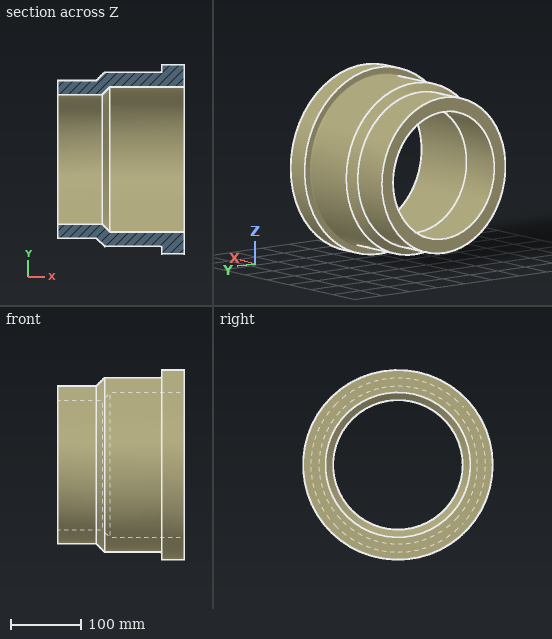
import cadquery as cq

length = 180.0
spigot_diameter = 225.0
body_diameter = 248.0
flange_diameter = 270.0

narrow_bore_diameter = 184.0
wide_bore_diameter = 206.0

spigot_length = 55.0
flange_thickness = 32.0
root_fillet = 2.0
narrow_bore_length = 63.2

spigot_radius = spigot_diameter / 2
body_radius = body_diameter / 2
flange_radius = flange_diameter / 2
narrow_bore_radius = narrow_bore_diameter / 2
wide_bore_radius = wide_bore_diameter / 2
outer_cone_length = body_radius - spigot_radius
bore_cone_length = wide_bore_radius - narrow_bore_radius
body_start = spigot_length + outer_cone_length
flange_start = length - flange_thickness
wide_bore_start = narrow_bore_length + bore_cone_length

section = (
    cq.Workplane("XY")
    .moveTo(0, narrow_bore_radius)
    .lineTo(0, spigot_radius)
    .lineTo(spigot_length, spigot_radius)
    .lineTo(body_start, body_radius)
    .lineTo(flange_start - root_fillet, body_radius)
    .radiusArc((flange_start, body_radius + root_fillet), -root_fillet)
    .lineTo(flange_start, flange_radius)
    .lineTo(length, flange_radius)
    .lineTo(length, wide_bore_radius)
    .lineTo(wide_bore_start, wide_bore_radius)
    .lineTo(narrow_bore_length, narrow_bore_radius)
    .close()
)

result = section.revolve(360, (0, 0, 0), (1, 0, 0))